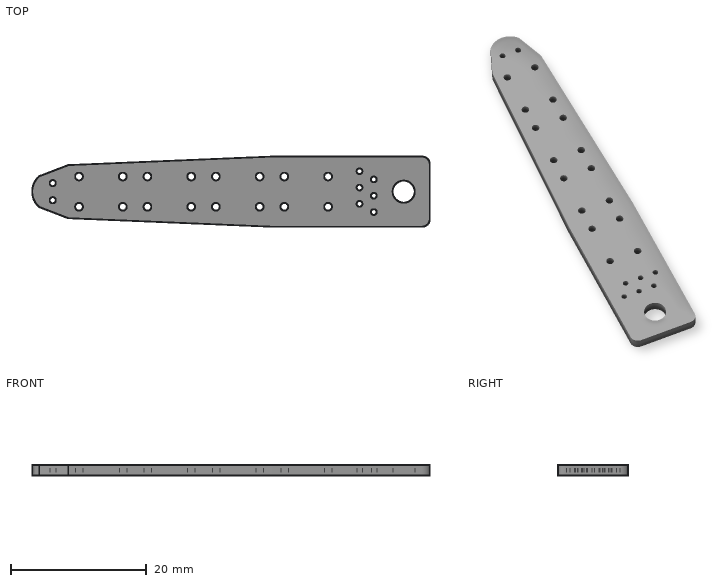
import cadquery as cq

length = 58.65
width = 10.4
thickness = 1.6
corner_radius = 1.2
taper_start_x = 6.05
shoulder_x = -24.0
shoulder_half_width = 3.9
tip_arc_x = -28.25
tip_arc_half_width = 2.3

mount_diameter = 3.2
mount_x = 25.45

group_count = 4
group_pitch = 10.1
first_group_x = -19.2
group_hole_spacing_x = 6.45
group_hole_spacing_y = 4.45
group_hole_diameter = 1.1

tip_hole_x = -26.25
tip_hole_spacing = 2.5
tip_hole_diameter = 0.9

pin_diameter = 0.8
pin_column_x = (18.95, 21.05)
pin_count = 6
pin_pitch_y = 2.4
pin_step_y = pin_pitch_y / 2


def plate():
    half_length = length / 2
    half_width = width / 2
    outline = (
        cq.Workplane("XY")
        .moveTo(half_length, -half_width)
        .lineTo(half_length, half_width)
        .lineTo(taper_start_x, half_width)
        .lineTo(shoulder_x, shoulder_half_width)
        .lineTo(tip_arc_x, tip_arc_half_width)
        .threePointArc((-half_length, 0), (tip_arc_x, -tip_arc_half_width))
        .lineTo(shoulder_x, -shoulder_half_width)
        .lineTo(taper_start_x, -half_width)
        .close()
    )
    body = outline.extrude(thickness / 2, both=True)
    return body.edges("|Z and >X").fillet(corner_radius)


def drill(body, points, diameter):
    return body.faces(">Z").workplane(origin=(0, 0, 0)).pushPoints(points).hole(diameter)


def group_hole_points():
    points = []
    for index in range(group_count):
        center_x = first_group_x + index * group_pitch
        for side_x in (-1, 1):
            for side_y in (-1, 1):
                x = center_x + side_x * group_hole_spacing_x / 2
                y = side_y * group_hole_spacing_y / 2
                points.append((x, y))
    return points


def pin_hole_points():
    top_y = (pin_count - 1) * pin_step_y / 2
    return [(pin_column_x[i % 2], top_y - i * pin_step_y) for i in range(pin_count)]


tip_hole_points = [(tip_hole_x, side * tip_hole_spacing / 2) for side in (-1, 1)]

result = plate()
result = drill(result, [(mount_x, 0)], mount_diameter)
result = drill(result, group_hole_points(), group_hole_diameter)
result = drill(result, tip_hole_points, tip_hole_diameter)
result = drill(result, pin_hole_points(), pin_diameter)